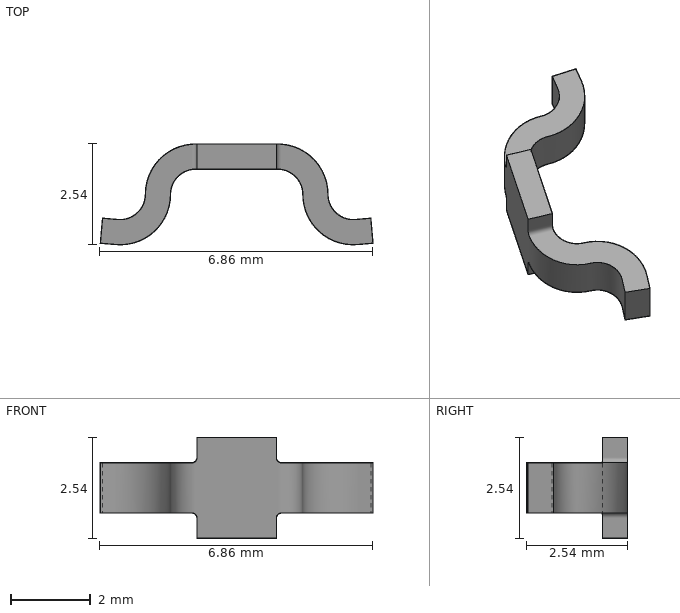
import cadquery as cq
import math

overall_length = 6.86
thickness = 0.64
outer_radius = 1.27
plate_width = 2.0
plate_height = 2.54
arm_height = 1.27
root_fillet = 0.125
root_straight = 0.03
tip_angle = math.radians(5)

inner_radius = outer_radius - thickness
plate_edge = plate_width / 2
back_y = outer_radius
front_y = back_y - thickness
upper_center_x = plate_edge + root_straight
lower_center_x = upper_center_x + outer_radius + inner_radius

tip_start_x = lower_center_x + outer_radius * math.sin(tip_angle)
tip_length = (overall_length / 2 - tip_start_x) / math.cos(tip_angle)


def polar(center_x, radius, angle):
    """Point on a bend circle centred on the X axis."""
    return (center_x + radius * math.cos(angle), radius * math.sin(angle))


def tip_corner(radius):
    """End of the straight tip that leaves the lower bend circle tangentially."""
    start_x, start_y = polar(lower_center_x, radius, tip_angle - math.pi / 2)
    return (start_x + tip_length * math.cos(tip_angle), start_y + tip_length * math.sin(tip_angle))


def make_arm(height):
    """S-shaped arm of the given height on the +X side, with its root at the plate edge."""
    upper_middle = math.pi / 4
    lower_middle = (tip_angle - math.pi / 2 - math.pi) / 2
    lower_end = tip_angle - math.pi / 2
    return (
        cq.Workplane("XY")
        .moveTo(plate_edge, back_y)
        .lineTo(upper_center_x, back_y)
        .threePointArc(polar(upper_center_x, outer_radius, upper_middle), (upper_center_x + outer_radius, 0))
        .threePointArc(
            polar(lower_center_x, inner_radius, lower_middle),
            polar(lower_center_x, inner_radius, lower_end),
        )
        .lineTo(*tip_corner(inner_radius))
        .lineTo(*tip_corner(outer_radius))
        .lineTo(*polar(lower_center_x, outer_radius, lower_end))
        .threePointArc(
            polar(lower_center_x, outer_radius, lower_middle),
            (lower_center_x - outer_radius, 0),
        )
        .threePointArc(polar(upper_center_x, inner_radius, upper_middle), (upper_center_x, front_y))
        .lineTo(plate_edge, front_y)
        .close()
        .extrude(height / 2, both=True)
    )


def make_root_fillet():
    """Concave web in the upper corner between the plate side and the arm."""
    arm_top = arm_height / 2
    fillet_x = plate_edge + root_fillet
    fillet_z = arm_top + root_fillet
    middle_offset = root_fillet * math.sqrt(0.5)
    corner_block = (
        cq.Workplane("XZ", origin=(0, back_y, 0))
        .moveTo(plate_edge, 0)
        .lineTo(fillet_x, 0)
        .lineTo(fillet_x, arm_top)
        .threePointArc((fillet_x - middle_offset, fillet_z - middle_offset), (plate_edge, fillet_z))
        .close()
        .extrude(outer_radius)
    )
    return corner_block.intersect(make_arm(plate_height))


plate = cq.Workplane("XY").box(plate_width, thickness, plate_height).translate((0, back_y - thickness / 2, 0))
upper_fillet = make_root_fillet()
right_arm = make_arm(arm_height).union(upper_fillet).union(upper_fillet.mirror("XY"))
result = plate.union(right_arm).union(right_arm.mirror("YZ"))